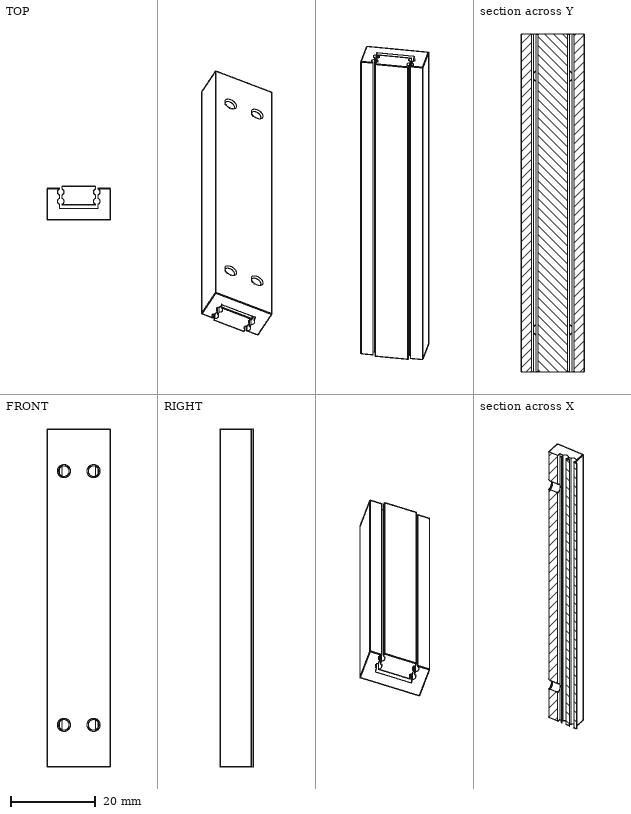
import cadquery as cq

LENGTH = 80.0
HEIGHT = 8.0
EDGE_CHAMFER = 0.15

RAIL_WIDTH = 15.0
RAIL_HEIGHT = 7.5
CHANNEL_WIDTH = 9.0
CHANNEL_FLOOR = 2.7

CARRIAGE_WIDTH = 8.0
CARRIAGE_BOTTOM = 3.5

RACEWAY_DIAMETER = 1.5
RACEWAY_X = (CHANNEL_WIDTH + CARRIAGE_WIDTH) / 4
RACEWAY_HEIGHTS = (4.4, 6.6)

HOLE_DIAMETER = 2.5
MOUTH_DIAMETER = 3.1
MOUTH_DEPTH = 0.5
HOLE_SPACING_X = 7.0
HOLE_SPACING_Z = 60.0


def make_bar(width, bottom, top):
    """Full-length bar centred on X, from `bottom` to `top` along Y."""
    bar = cq.Workplane("XY").box(width, top - bottom, LENGTH, centered=(True, False, False))
    return bar.translate((0, bottom, 0))


def make_raceways():
    """Four round cutters running the full length of the gaps beside the carriage."""
    centres = [(side * RACEWAY_X, height) for side in (-1, 1) for height in RACEWAY_HEIGHTS]
    return cq.Workplane("XY").pushPoints(centres).circle(RACEWAY_DIAMETER / 2).extrude(LENGTH)


def make_mounting_hole():
    """Cutter along Y for one hole: conical mouth at Y = 0, then straight up to the channel."""
    hole_radius = HOLE_DIAMETER / 2
    half_section = [
        (0, 0),
        (MOUTH_DIAMETER / 2, 0),
        (hole_radius, MOUTH_DEPTH),
        (hole_radius, CHANNEL_FLOOR),
        (0, CHANNEL_FLOOR),
    ]
    return cq.Workplane("XY").polyline(half_section).close().revolve(360, (0, 0, 0), (0, 1, 0))


def make_rail():
    body = make_bar(RAIL_WIDTH, 0, RAIL_HEIGHT).edges().chamfer(EDGE_CHAMFER)
    body = body.cut(make_bar(CHANNEL_WIDTH, CHANNEL_FLOOR, HEIGHT))
    body = body.cut(make_raceways())
    hole = make_mounting_hole()
    for side in (-1, 1):
        for end in (-1, 1):
            x = side * HOLE_SPACING_X / 2
            z = LENGTH / 2 + end * HOLE_SPACING_Z / 2
            body = body.cut(hole.translate((x, 0, z)))
    return body


def make_carriage():
    body = make_bar(CARRIAGE_WIDTH, CARRIAGE_BOTTOM, HEIGHT)
    body = body.edges("|X or (|Z and >Y)").chamfer(EDGE_CHAMFER)
    return body.cut(make_raceways())


rail = make_rail()
carriage = make_carriage()

result = cq.Compound.makeCompound([rail.solids().val(), carriage.solids().val()])